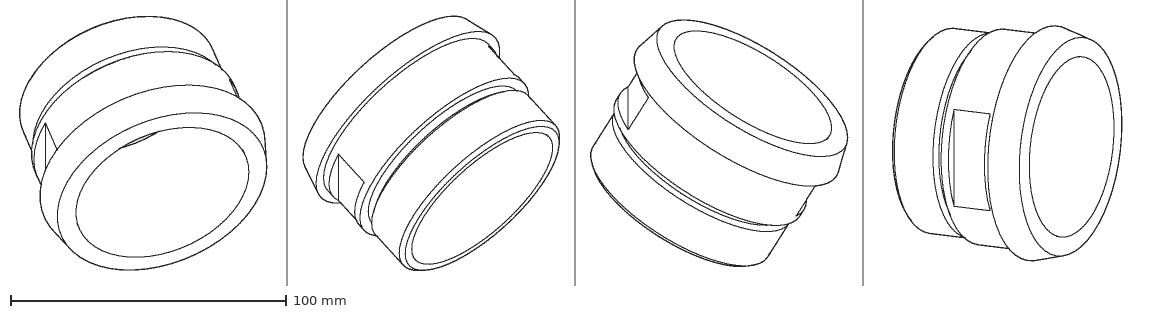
import cadquery as cq

length = 54.6
spigot_end = 18.8
groove_end = 21.85
flange_start = 42.8
cone_end = 54.2

bore_diameter = 66.0
spigot_diameter = 75.2
groove_diameter = 71.2
collar_diameter = 79.0
flange_diameter = 86.0
cone_end_diameter = 80.0
end_face_diameter = 71.7

front_chamfer = 1.55
rear_chamfer_length = 1.4

flat_start = 24.85
flat_width = 14.8
across_flats = 70.3


def turned_body():
    """Revolve the half section of the sleeve about the X axis."""
    bore_radius = bore_diameter / 2
    spigot_radius = spigot_diameter / 2
    groove_radius = groove_diameter / 2
    collar_radius = collar_diameter / 2
    section = [
        (0, bore_radius),
        (0, spigot_radius - front_chamfer),
        (front_chamfer, spigot_radius),
        (spigot_end - rear_chamfer_length, spigot_radius),
        (spigot_end, groove_radius),
        (groove_end, groove_radius),
        (groove_end, collar_radius),
        (flange_start, collar_radius),
        (flange_start, flange_diameter / 2),
        (cone_end, cone_end_diameter / 2),
        (length, end_face_diameter / 2),
        (length, bore_radius),
    ]
    return cq.Workplane("XY").polyline(section).close().revolve(360, (0, 0, 0), (1, 0, 0))


def flat_cutter(side):
    """Block that removes the collar beyond one flat; side is -1 or +1 along Y."""
    depth = flange_diameter / 2
    center = (flat_start + flat_width / 2, side * (across_flats + depth) / 2, 0)
    return cq.Workplane("XY").box(flat_width, depth, flange_diameter).translate(center)


result = turned_body()
for side in (-1, 1):
    result = result.cut(flat_cutter(side))